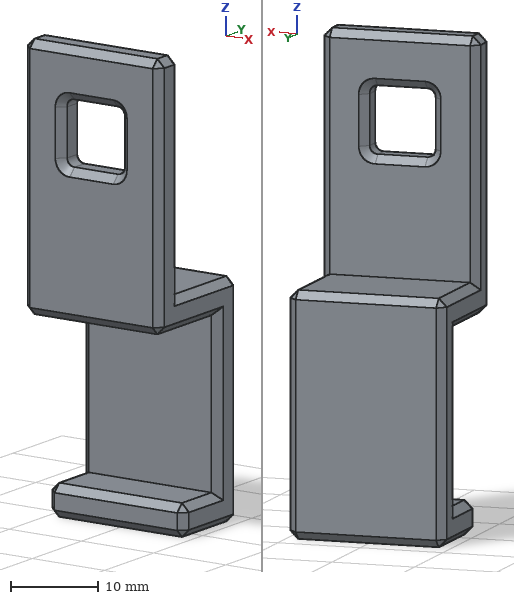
import cadquery as cq

width = 19.0
depth = 16.0
height = 57.5

thickness = 4.0
shelf_top = 29.0
lip_length = 11.0
edge_chamfer = 1.0

window_size = 8.0
window_radius = 1.0
window_drop = 10.4

front = -depth / 2
back = depth / 2
shelf_bottom = shelf_top - thickness
lip_front = back - lip_length
upper_back = front + thickness
lower_front = back - thickness


def strip():
    """Z-shaped strip with a forward lip, all edges sharp."""
    outline = [
        (front, height),
        (upper_back, height),
        (upper_back, shelf_top),
        (back, shelf_top),
        (back, 0),
        (lip_front, 0),
        (lip_front, thickness),
        (lower_front, thickness),
        (lower_front, shelf_bottom),
        (front, shelf_bottom),
    ]
    return cq.Workplane("YZ").polyline(outline).close().extrude(width / 2, both=True)


def window():
    """Rounded square cutter through the upper plate."""
    return (
        cq.Workplane("XY")
        .box(window_size, 2 * thickness, window_size)
        .edges("|Y")
        .fillet(window_radius)
        .translate((0, front + thickness / 2, height - window_drop))
    )


def inner_bends():
    """Selector for the three concave bend lines, which stay sharp."""
    bends = [
        (upper_back, shelf_top),
        (lower_front, thickness),
        (lower_front, shelf_bottom),
    ]
    selector = cq.NearestToPointSelector((0, *bends[0]))
    for bend in bends[1:]:
        selector = selector + cq.NearestToPointSelector((0, *bend))
    return selector


body = strip()
outer_edges = body.edges().edges(-inner_bends())
body = outer_edges.chamfer(edge_chamfer)

body = body.cut(window())
rim_reach = window_size / 2 + edge_chamfer
window_height = height - window_drop
rims = cq.selectors.BoxSelector(
    (-rim_reach, front - edge_chamfer, window_height - rim_reach),
    (rim_reach, upper_back + edge_chamfer, window_height + rim_reach),
)
result = body.edges(rims).edges("not |Y").chamfer(edge_chamfer)